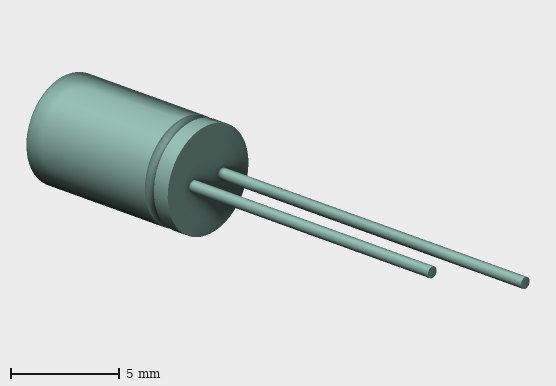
import cadquery as cq

overall_length = 28.0
can_length = 9.0
can_diameter = 5.5
rim_radius = 0.2
groove_start = 7.55
groove_floor = 7.87
groove_end = 8.12
groove_depth = 0.25
lead_diameter = 0.6
lead_pitch = 2.0
lead_length_difference = 4.0

can_radius = can_diameter / 2
groove_floor_radius = can_radius - groove_depth
long_lead_length = overall_length - can_length
short_lead_length = long_lead_length - lead_length_difference


def make_can():
    """Solid can with a rounded closed end and a rolled groove near the lead end."""
    toward_lead_end = cq.Vector(1, 0, 0)
    toward_closed_end = cq.Vector(-1, 0, 0)
    floor_point = cq.Vector(groove_floor, 0, groove_floor_radius)
    groove_start_point = cq.Vector(groove_start, 0, can_radius)
    groove_end_point = cq.Vector(groove_end, 0, can_radius)
    groove_arcs = [
        cq.Edge.makeTangentArc(floor_point, toward_closed_end, groove_start_point),
        cq.Edge.makeTangentArc(floor_point, toward_lead_end, groove_end_point),
    ]
    straight_sides = cq.Wire.makePolygon(
        [
            groove_end_point,
            cq.Vector(can_length, 0, can_radius),
            cq.Vector(can_length, 0, 0),
            cq.Vector(0, 0, 0),
            cq.Vector(0, 0, can_radius),
            groove_start_point,
        ]
    )
    half_profile = cq.Wire.assembleEdges(groove_arcs + straight_sides.Edges())
    can = cq.Workplane("XZ").add(half_profile).toPending().revolve(360, (0, 0, 0), (1, 0, 0))
    return can.faces("<X").edges().fillet(rim_radius)


def make_lead(y_position, length):
    """Straight round wire that starts on the flat lead end of the can."""
    return (
        cq.Workplane("YZ", origin=(can_length, y_position, 0))
        .circle(lead_diameter / 2)
        .extrude(length)
    )


can = make_can()

leads = [
    make_lead(side * lead_pitch / 2, length)
    for side, length in ((-1, short_lead_length), (1, long_lead_length))
]

result = cq.Compound.makeCompound([can.val(), *[lead.val() for lead in leads]])